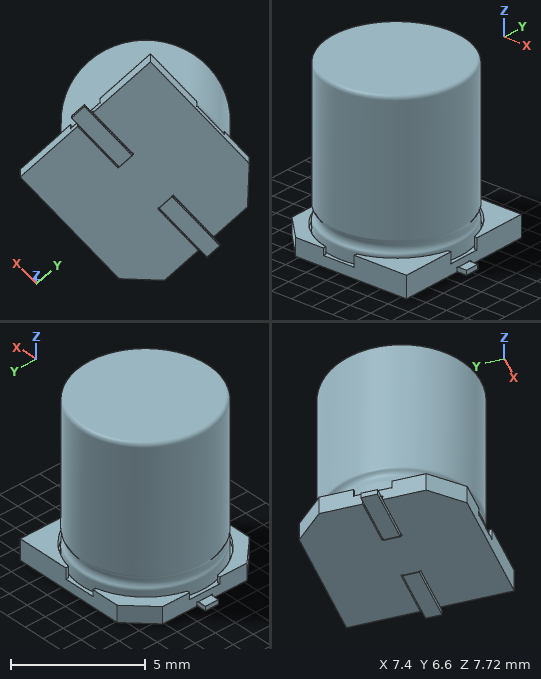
import cadquery as cq
import math

total_height = 7.72
lead_span = 7.4
base_width = 6.6

standoff = 0.03
low_top = 0.825
high_top = 1.02
corner_chamfer = 1.2

seat_diameter = 6.5
seat_floor = 0.52
notch_width = 1.505

lead_width = 0.66
lead_thickness = 0.22
lead_inner_end = 1.09
slot_width = 0.78

can_radius = 6.3 / 2
rim_radius = 0.2
groove_bottom = high_top
groove_height = 0.695
groove_depth = 0.14
shoulder_share = 1 / 3


def block(x_start, x_end, width, z_bottom, z_top):
    """Box between two X and two Z positions, centred on Y."""
    return (
        cq.Workplane("XY", origin=((x_start + x_end) / 2, 0, z_bottom))
        .box(x_end - x_start, width, z_top - z_bottom, centered=(True, True, False))
    )


def make_base():
    half = base_width / 2
    low_half = block(-half, 0, base_width, standoff, low_top).edges("|Z and <X").chamfer(corner_chamfer)
    base = low_half.union(block(0, half, base_width, standoff, high_top))

    seat_depth = high_top - seat_floor
    seat_plane = cq.Workplane("XY", origin=(0, 0, seat_floor))
    base = base.cut(seat_plane.circle(seat_diameter / 2).extrude(seat_depth))
    base = base.cut(seat_plane.rect(base_width, notch_width).extrude(seat_depth))
    base = base.cut(seat_plane.rect(notch_width, base_width).extrude(seat_depth))

    for side in (-1, 1):
        slot_ends = sorted((side * lead_inner_end, side * half))
        base = base.cut(block(*slot_ends, slot_width, standoff, lead_thickness))
    return base


def make_can():
    half_height = groove_height / 2
    turn = 2 * math.atan(groove_depth / half_height)
    shoulder_height = shoulder_share * half_height
    shoulder_radius = shoulder_height / math.sin(turn)
    shoulder_depth = shoulder_radius * (1 - math.cos(turn))
    mid_height = shoulder_radius * math.sin(turn / 2)
    mid_depth = shoulder_radius * (1 - math.cos(turn / 2))

    groove_top = groove_bottom + groove_height
    groove_middle = groove_bottom + half_height
    joint_radius = can_radius - shoulder_depth
    mid_radius = can_radius - mid_depth

    can = (
        cq.Workplane("XZ")
        .moveTo(0, seat_floor)
        .lineTo(can_radius, seat_floor)
        .lineTo(can_radius, groove_bottom)
        .threePointArc(
            (mid_radius, groove_bottom + mid_height),
            (joint_radius, groove_bottom + shoulder_height),
        )
        .threePointArc(
            (can_radius - groove_depth, groove_middle),
            (joint_radius, groove_top - shoulder_height),
        )
        .threePointArc(
            (mid_radius, groove_top - mid_height),
            (can_radius, groove_top),
        )
        .lineTo(can_radius, total_height)
        .lineTo(0, total_height)
        .close()
        .revolve(360, (0, 0, 0), (0, 1, 0))
    )
    return can.faces(">Z").edges().fillet(rim_radius)


def make_lead(side):
    lead_ends = sorted((side * lead_inner_end, side * lead_span / 2))
    return block(*lead_ends, lead_width, 0, lead_thickness)


result = make_base().union(make_can())
for side in (-1, 1):
    result = result.union(make_lead(side))